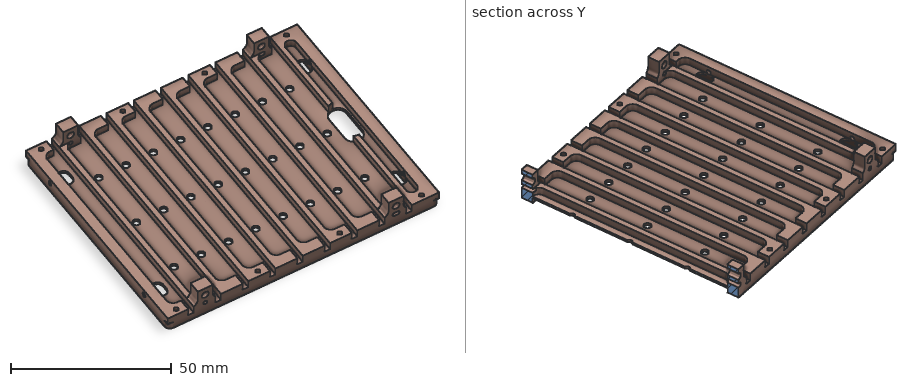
import cadquery as cq
import math

WIDTH = 83.0
LENGTH = 99.5
PLATE_HEIGHT = 5.5
FLOOR_Z = 2.75
CORNER_RADIUS = 2.0

BAR_PITCH = 10.0
GROOVE_WIDTH = 2.0
GROOVE_COUNT = 9

SIDE_WALL = 4.25
BAR_WALL = 2.0
FRONT_WALL = 3.7
POCKET_RADIUS = 2.5
CHANNEL_WIDTH = 4.0
CHANNEL_FROM_BACK = 6.2

BAR_HOLE_DIAMETER = 2.5
BAR_HOLE_SPACING = 22.0
BAR_HOLE_FROM_GROOVE = 3.0
SLOT_LENGTH = 6.0
SLOT_SPACING = 55.0
FRONT_SLOT_FROM_BACK = 93.8
WINDOW_LENGTH = 15.5
WINDOW_WIDTH = 6.5
WINDOW_FROM_BACK = 8.2

FLOOR_THICKNESS = 1.0
RECESS_DEPTH = FLOOR_Z - FLOOR_THICKNESS

SCREW_DIAMETER = 1.6
SCREW_INSET = 2.0
SCREW_FIRST = 5.2
SCREW_PITCH = 30.0
SCREW_COUNT = 4

END_HOLE_DIAMETER = 1.6
END_HOLE_Z = 3.4

TOP_Z = 11.5
LUG_BARS = (1, 8)
LUG_LENGTH = 5.5
LUG_BACK_SHOULDER = 1.0
LUG_FRONT_SHOULDER = 1.5
SHOULDER_TOP_Z = 7.75
LUG_HOLE_DIAMETER = 2.5
LUG_HOLE_Z = 8.5
PIN_DIAMETER = 1.4
PIN_Z = 4.9
PIN_SLOT_LENGTH = 2.5

BAR_WIDTH = BAR_PITCH - GROOVE_WIDTH
POCKET_WIDTH = WIDTH - 2 * SIDE_WALL
SIDES = (-1, 1)


def bar_start(bar):
    """Distance from the back edge of the plate to the back side of a bar."""
    return bar * BAR_PITCH + GROOVE_WIDTH


def box(x_size, y_back, y_front, z_low, z_high):
    """Box centred on X, between two distances from the back edge."""
    return (
        cq.Workplane("XY", origin=(0, -(y_back + y_front) / 2, z_low))
        .rect(x_size, y_front - y_back)
        .extrude(z_high - z_low)
    )


def make_plate():
    """Slab whose lower half has rounded corners."""
    lower = box(WIDTH, 0, LENGTH, 0, FLOOR_Z).edges("|Z").fillet(CORNER_RADIUS)
    return lower.union(box(WIDTH, 0, LENGTH, FLOOR_Z, PLATE_HEIGHT))


def shoulder_middle(foot, wall):
    """Midpoint of the shoulder arc that rises from the foot and ends tangent to the lug wall."""
    run = abs(wall - foot)
    rise = SHOULDER_TOP_Z - PLATE_HEIGHT
    radius = (run**2 + rise**2) / (2 * run)
    half_angle = math.asin(rise / radius) / 2
    away = math.copysign(radius * (1 - math.cos(half_angle)), foot - wall)
    return (wall + away, SHOULDER_TOP_Z - radius * math.sin(half_angle))


def make_lug(bar, side):
    """Upright lug with a concave shoulder at its back and front foot."""
    low_x = side * (WIDTH - SIDE_WALL) / 2 - SIDE_WALL / 2
    back_foot = -bar_start(bar)
    back = back_foot - LUG_BACK_SHOULDER
    front = back - LUG_LENGTH
    front_foot = front - LUG_FRONT_SHOULDER

    profile = (
        cq.Workplane("YZ", origin=(low_x, 0, 0))
        .moveTo(back_foot, FLOOR_Z)
        .lineTo(back_foot, PLATE_HEIGHT)
        .threePointArc(shoulder_middle(back_foot, back), (back, SHOULDER_TOP_Z))
        .lineTo(back, TOP_Z)
        .lineTo(front, TOP_Z)
        .lineTo(front, SHOULDER_TOP_Z)
        .threePointArc(shoulder_middle(front_foot, front), (front_foot, PLATE_HEIGHT))
        .lineTo(front_foot, FLOOR_Z)
        .close()
    )
    return profile.extrude(SIDE_WALL)


def make_groove(bar):
    """Full-width groove just behind a bar."""
    start = bar * BAR_PITCH
    return box(WIDTH, start, start + GROOVE_WIDTH, FLOOR_Z, PLATE_HEIGHT)


def make_pocket(start, end):
    """Pocket open to the groove behind it, rounded at its two front corners."""
    pocket = box(POCKET_WIDTH, start, end, FLOOR_Z, TOP_Z)
    return pocket.edges("|Z and <Y").fillet(POCKET_RADIUS)


def make_recess():
    """Underside recess with the same outer limits as the channel and the pockets above it."""
    back = CHANNEL_FROM_BACK - CHANNEL_WIDTH / 2
    recess = box(POCKET_WIDTH, back, LENGTH - FRONT_WALL, 0, RECESS_DEPTH)
    return recess.edges("|Z").fillet(POCKET_RADIUS)


def upright_slot(centers, from_back, length, width, z_low):
    """Round-ended slots along X, cut upward from z_low."""
    return (
        cq.Workplane("XY", origin=(0, -from_back, z_low))
        .pushPoints([(x, 0) for x in centers])
        .slot2D(length, width)
        .extrude(TOP_Z - z_low)
    )


def make_bar_holes(bar):
    """Row of three holes through the pocket floor of a bar."""
    y = -(bar_start(bar) + BAR_HOLE_FROM_GROOVE)
    points = [(step * BAR_HOLE_SPACING, y) for step in (-1, 0, 1)]
    return cq.Workplane("XY").pushPoints(points).circle(BAR_HOLE_DIAMETER / 2).extrude(FLOOR_Z)


def make_screw_holes():
    """Through holes in a line along both sides of the plate."""
    points = []
    for side in SIDES:
        for index in range(SCREW_COUNT):
            points.append((side * (WIDTH / 2 - SCREW_INSET), -(SCREW_FIRST + index * SCREW_PITCH)))
    return cq.Workplane("XY").pushPoints(points).circle(SCREW_DIAMETER / 2).extrude(PLATE_HEIGHT)


def make_end_wall_holes():
    """Holes along Y through the back wall into the channel and through the front wall into its pocket."""
    points = [(side * SLOT_SPACING / 2, END_HOLE_Z) for side in SIDES]

    def drill(from_back, depth):
        plane = cq.Workplane("XZ", origin=(0, -from_back, 0))
        return plane.pushPoints(points).circle(END_HOLE_DIAMETER / 2).extrude(depth)

    return drill(0, CHANNEL_FROM_BACK).union(drill(FRONT_SLOT_FROM_BACK, LENGTH - FRONT_SLOT_FROM_BACK))


def lug_center(bar):
    """Y of the middle of a lug."""
    return -(bar_start(bar) + LUG_BACK_SHOULDER + LUG_LENGTH / 2)


def make_lug_holes():
    """Holes along X: a round one through every lug, a pin slot at the back pair, a pin hole at the front."""
    side_plane = cq.Workplane("YZ", origin=(-WIDTH / 2, 0, 0))
    centers = [lug_center(bar) for bar in LUG_BARS]
    cross = (
        side_plane.pushPoints([(y, LUG_HOLE_Z) for y in centers])
        .circle(LUG_HOLE_DIAMETER / 2)
        .extrude(WIDTH)
    )
    pin_slot = (
        side_plane.pushPoints([(centers[0], PIN_Z)])
        .slot2D(PIN_SLOT_LENGTH, PIN_DIAMETER)
        .extrude(WIDTH)
    )
    pin_hole = side_plane.pushPoints([(centers[1], PIN_Z)]).circle(PIN_DIAMETER / 2).extrude(WIDTH)
    return cross.union(pin_slot).union(pin_hole)


part = make_plate()
for bar in range(1, GROOVE_COUNT + 1):
    part = part.cut(make_groove(bar))

for bar in range(1, GROOVE_COUNT):
    pocket_start = bar_start(bar)
    part = part.cut(make_pocket(pocket_start, pocket_start + BAR_WIDTH - BAR_WALL))
    part = part.cut(make_bar_holes(bar))

part = part.cut(make_pocket(bar_start(GROOVE_COUNT), LENGTH - FRONT_WALL))
part = part.cut(upright_slot([0], CHANNEL_FROM_BACK, POCKET_WIDTH, CHANNEL_WIDTH, FLOOR_Z))

slot_centers = [side * SLOT_SPACING / 2 for side in SIDES]
for from_back in (CHANNEL_FROM_BACK, FRONT_SLOT_FROM_BACK):
    part = part.cut(upright_slot(slot_centers, from_back, SLOT_LENGTH, CHANNEL_WIDTH, 0))
part = part.cut(upright_slot([0], WINDOW_FROM_BACK, WINDOW_LENGTH, WINDOW_WIDTH, 0))

part = part.cut(make_recess())

for bar in LUG_BARS:
    for side in SIDES:
        part = part.union(make_lug(bar, side))

result = part.cut(make_lug_holes()).cut(make_screw_holes()).cut(make_end_wall_holes())